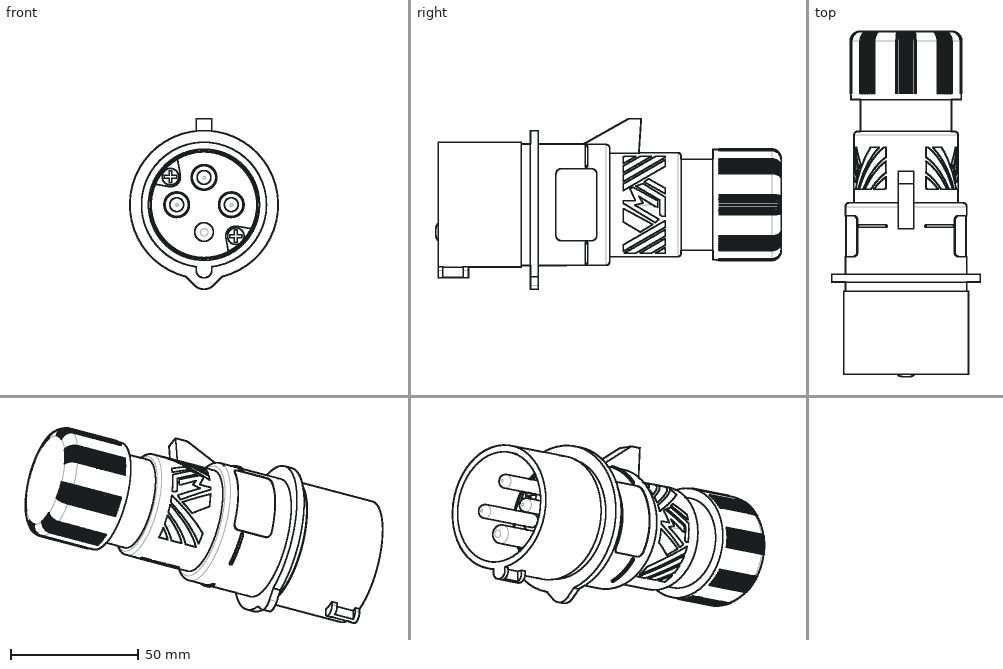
import cadquery as cq
import math

earth_tip_y = -1.0
cable_end_y = earth_tip_y + 136

sleeve_radius = 24.6
collar_y, collar_radius = 32.8, 24.0
flange_front_y, flange_rear_y, flange_radius = 36.3, 39.5, 29.2
shell_end_y, shell_round = 67.6, 1.6
grip_end_y, grip_radius, grip_round = 95.6, 20.5, 1.4
neck_radius = 18.0
cap_y, cap_radius, cap_round = 108.1, 21.8, 3.8

lobe_bottom_z, lobe_radius, lobe_root_half_width = -33.3, 5.3, 7.1

rib_groups, ribs_per_group, rib_pitch_angle = 8, 7, 3.2
rib_width, rib_height, rib_start_y = 0.5, 0.3, 110.5

latch_width, latch_top_z = 6.3, 33.9
latch_tip_y, latch_crest_y, latch_root_y, latch_toe_y = 80.0, 75.0, 79.0, 57.3
latch_root_z = 19.7

pad_front_y, pad_rear_y, pad_half_height = 46.4, 62.4, 14.1
pad_corner, pad_depth = 2.0, 0.3
ridge_y, ridge_width, ridge_height = 58.3, 1.0, 0.5
ridge_middle_angle, ridge_length = 35.0, 13.9

key_width, key_bottom_z, key_length = 6.1, -28.8, 12.0
key_front_length, key_rear_length, key_web_width = 1.9, 2.2, 2.2

cavity_mouth_radius, cavity_floor_radius, cavity_depth = 21.9, 21.2, 32.6
cavity_floor_chamfer = 0.4
pin_circle_radius, pin_tip_round = 10.7, 2.2
phase_pin_radius, phase_tip_y = 2.7, 1.6
earth_pin_radius = 3.7
bush_radius, bush_height, bush_chamfer = 5.0, 0.7, 0.4
screw_places = ((-13.2, 11.0, 135), (12.5, -12.4, -45))
screw_radius, screw_dome_height, screw_slot_width, screw_slot_depth = 3.3, 1.6, 1.1, 0.8
pocket_radius, pocket_depth, pocket_half_taper, pocket_reach = 4.0, 1.6, 35.0, 12.2

relief_height = 0.07
pattern_front_y, pattern_rear_y, pattern_half_height = 72.9, 89.4, 19.0
stripe_pitch, stripe_height, stripe_angle = 3.5, 2.6, 30.0
upper_stripe_z, lower_stripe_z, stripes_per_set = 15.1, -6.3, 4

overlap = 0.7


def cylinder(radius, start_y, end_y, x=0.0, z=0.0):
    """Cylinder along Y."""
    return (
        cq.Workplane("XZ", origin=(0, start_y, 0))
        .center(x, z)
        .circle(radius)
        .extrude(start_y - end_y)
    )


def ring(inner_radius, outer_radius, start_y, end_y):
    """Tube around the plug axis."""
    return cylinder(outer_radius, start_y, end_y).cut(cylinder(inner_radius, start_y, end_y))


def prism_along_x(points, length):
    """Prism on a (Y, Z) outline, centred on the YZ plane."""
    return cq.Workplane("YZ").polyline(points).close().extrude(length / 2, both=True)


def turned_body():
    sections = (
        cylinder(collar_radius, collar_y - overlap, shell_end_y).faces(">Y").edges().fillet(shell_round),
        cylinder(flange_radius, flange_front_y, flange_rear_y),
        cylinder(grip_radius, shell_end_y - overlap, grip_end_y).faces(">Y").edges().fillet(grip_round),
        cylinder(neck_radius, grip_end_y - overlap, cap_y + overlap),
        cylinder(cap_radius, cap_y, cable_end_y).faces(">Y").edges().fillet(cap_round),
    )
    body = cylinder(sleeve_radius, 0, collar_y)
    for section in sections:
        body = body.union(section)
    return body


def flange_lobe():
    """Rounded nose whose 45 degree flanks run up into the flange."""
    arc_centre_z = lobe_bottom_z + lobe_radius
    tangent_offset = lobe_radius * math.sin(math.radians(45))
    tangent_z = arc_centre_z - tangent_offset
    root_z = tangent_z + lobe_root_half_width - tangent_offset
    return (
        cq.Workplane("XZ", origin=(0, flange_front_y, 0))
        .moveTo(0, 0)
        .lineTo(-lobe_root_half_width, root_z)
        .lineTo(-tangent_offset, tangent_z)
        .threePointArc((0, lobe_bottom_z), (tangent_offset, tangent_z))
        .lineTo(lobe_root_half_width, root_z)
        .close()
        .extrude(flange_front_y - flange_rear_y)
    )


def cap_ribs():
    """Fine lengthwise ribs that follow the cap's rounded end, in evenly spaced groups."""
    blank = cylinder(cap_radius + rib_height, rib_start_y, cable_end_y)
    blank = blank.faces(">Y").edges().fillet(cap_round + rib_height)
    blade_start = cap_radius - cap_round - 2 * overlap
    blade = cq.Workplane("XY").box(
        rib_width,
        cable_end_y - rib_start_y,
        cap_radius,
        centered=(True, False, False),
    ).translate((0, rib_start_y, blade_start))
    blades = []
    for group in range(rib_groups):
        for rib in range(ribs_per_group):
            angle = group * 360 / rib_groups + (rib - (ribs_per_group - 1) / 2) * rib_pitch_angle
            blades.append(blade.rotate((0, 0, 0), (0, 1, 0), angle).val())
    return blank.intersect(cq.Workplane(cq.Compound.makeCompound(blades)))


def latch():
    outline = (
        (latch_root_y, latch_root_z),
        (latch_tip_y, latch_top_z),
        (latch_crest_y, latch_top_z),
        (latch_toe_y, collar_radius),
        (latch_toe_y, latch_root_z),
    )
    return prism_along_x(outline, latch_width)


def finger_pads():
    """Cutter for the shallow rounded pads on both sides of the shell."""
    window = (
        cq.Workplane("YZ", origin=(0, (pad_front_y + pad_rear_y) / 2, 0))
        .rect(pad_rear_y - pad_front_y, 2 * pad_half_height)
        .extrude(flange_radius, both=True)
        .edges("|X")
        .fillet(pad_corner)
    )
    return ring(collar_radius - pad_depth, collar_radius + overlap, pad_front_y, pad_rear_y).intersect(window)


def shell_ridges():
    """Four round-ended ridges, either side of the latch and of its opposite."""
    band = ring(
        collar_radius - overlap,
        collar_radius + ridge_height,
        ridge_y - ridge_width,
        ridge_y + ridge_width,
    )
    stamp = (
        cq.Workplane("XY")
        .center(0, ridge_y)
        .slot2D(ridge_length, ridge_width)
        .extrude(flange_radius)
        .rotate((0, 0, 0), (0, 1, 0), ridge_middle_angle)
    )
    ridge = band.intersect(stamp)
    pair = ridge.union(ridge.mirror("YZ"))
    return pair.union(pair.mirror("XY"))


def key():
    """Round-nosed key with a thinner web between its two ends."""
    half_width = key_width / 2
    nose_centre_z = key_bottom_z + half_width
    top_z = -(cavity_mouth_radius + sleeve_radius) / 2
    nose = cylinder(half_width, 0, key_length, z=nose_centre_z)
    stem = cq.Workplane("XY").box(key_width, key_length, top_z - nose_centre_z, centered=(True, False, False))
    blank = nose.union(stem.translate((0, 0, nose_centre_z)))
    web_length = key_length - key_front_length - key_rear_length
    side_cut = cq.Workplane("XY").box(
        key_width,
        web_length,
        top_z - key_bottom_z,
        centered=(False, False, False),
    )
    for left_x in (key_web_width / 2, -key_web_width / 2 - key_width):
        blank = blank.cut(side_cut.translate((left_x, key_front_length, key_bottom_z)))
    return blank


def contact_cavity():
    """Slightly tapered bore of the contact sleeve."""
    return (
        cq.Workplane("XZ")
        .circle(cavity_mouth_radius)
        .workplane(offset=-cavity_depth)
        .circle(cavity_floor_radius)
        .loft()
        .faces(">Y")
        .chamfer(cavity_floor_chamfer)
    )


def pin(radius, tip_y, x, z):
    return cylinder(radius, tip_y, cavity_depth + overlap, x, z).faces("<Y").edges().fillet(pin_tip_round)


def bush(x, z):
    """Low chamfered ring around a phase pin."""
    bush_body = cylinder(bush_radius, cavity_depth - bush_height, cavity_depth + overlap, x, z)
    return bush_body.faces("<Y").edges().chamfer(bush_chamfer)


def screw_pocket(x, z, direction):
    """Cutter for a recess around a screw, widening towards the sleeve wall."""
    tangent_angle = math.radians(90 + pocket_half_taper)
    tangent_x = pocket_radius * math.cos(tangent_angle)
    tangent_z = pocket_radius * math.sin(tangent_angle)
    end_z = tangent_z + (pocket_reach - tangent_x) * math.tan(math.radians(pocket_half_taper))
    pocket = (
        cq.Workplane("XZ", origin=(0, cavity_depth, 0))
        .moveTo(tangent_x, tangent_z)
        .threePointArc((-pocket_radius, 0), (tangent_x, -tangent_z))
        .lineTo(pocket_reach, -end_z)
        .lineTo(pocket_reach, end_z)
        .close()
        .extrude(-pocket_depth)
        .rotate((0, 0, 0), (0, 1, 0), -direction)
        .translate((x, 0, z))
    )
    return pocket.intersect(cylinder(cavity_floor_radius, cavity_depth, cavity_depth + pocket_depth))


def screw_head(x, z):
    """Domed head with a cross slot."""
    seat_y = cavity_depth + pocket_depth
    dome_radius = (screw_radius**2 + screw_dome_height**2) / (2 * screw_dome_height)
    crown_y = seat_y - screw_dome_height
    dome = cq.Workplane("XY").sphere(dome_radius).translate((x, crown_y + dome_radius, z))
    head = cylinder(screw_radius, crown_y, seat_y + overlap, x, z).intersect(dome)
    for length, height in ((2 * screw_radius, screw_slot_width), (screw_slot_width, 2 * screw_radius)):
        slot = cq.Workplane("XY").box(length, 2 * screw_slot_depth, height)
        head = head.cut(slot.translate((x, crown_y, z)))
    return head


def stripe_outlines():
    """Parallel stripes that slope down towards the flange, above and below the centre figure."""
    drop = (pattern_rear_y - pattern_front_y) * math.tan(math.radians(stripe_angle))
    lower_edges = [upper_stripe_z + index * stripe_pitch for index in range(stripes_per_set)]
    lower_edges += [lower_stripe_z - stripe_height - index * stripe_pitch for index in range(stripes_per_set)]
    return [
        (
            (pattern_rear_y, edge_z),
            (pattern_rear_y, edge_z + stripe_height),
            (pattern_front_y, edge_z + stripe_height - drop),
            (pattern_front_y, edge_z - drop),
        )
        for edge_z in lower_edges
    ]


def grip_pattern():
    """Raised bands on both sides of the grip, set out as (Y, Z) outlines and projected along X."""
    straight_band = ((pattern_rear_y, 6.5), (82.8, 10.2), (81.0, 9.0), (pattern_rear_y, 4.4))
    hooked_band = (
        (pattern_rear_y, 3.0), (80.6, 8.3), (77.8, 7.3), (87.3, 1.8),
        (87.3, -4.0), (88.1, -4.6), (pattern_rear_y, -4.6),
    )
    zigzag_band = (
        (86.5, 1.5), (76.7, 7.0), (75.5, 6.3), (77.7, 1.6), (pattern_front_y, 1.6), (pattern_front_y, 0.5),
        (85.4, -7.1), (86.9, -5.7), (77.4, -0.1), (80.6, 0.7), (79.0, 3.3), (85.4, -0.7), (86.5, -1.0),
    )
    corner_band = ((pattern_front_y, -1.5), (pattern_front_y, -6.8), (79.5, -10.7), (84.5, -7.8))
    outlines = stripe_outlines() + [straight_band, hooked_band, zigzag_band, corner_band]
    span = 3 * grip_radius
    prisms = [prism_along_x(outline, span).val() for outline in outlines]
    bands = cq.Workplane(cq.Compound.makeCompound(prisms))
    window = cq.Workplane("XY").box(span, pattern_rear_y - pattern_front_y, 2 * pattern_half_height)
    window = window.translate((0, (pattern_front_y + pattern_rear_y) / 2, 0))
    skin = ring(grip_radius - overlap, grip_radius + relief_height, pattern_front_y, pattern_rear_y)
    return skin.intersect(window).intersect(bands)


result = turned_body().union(flange_lobe()).union(cap_ribs()).union(latch()).union(key())
result = result.cut(finger_pads()).union(shell_ridges()).union(grip_pattern())

result = result.cut(contact_cavity())
for screw_x, screw_z, wall_direction in screw_places:
    result = result.cut(screw_pocket(screw_x, screw_z, wall_direction))
    result = result.union(screw_head(screw_x, screw_z))
for pin_x, pin_z in ((0, pin_circle_radius), (-pin_circle_radius, 0), (pin_circle_radius, 0)):
    result = result.union(bush(pin_x, pin_z))
    result = result.union(pin(phase_pin_radius, phase_tip_y, pin_x, pin_z))
result = result.union(pin(earth_pin_radius, earth_tip_y, 0, -pin_circle_radius))